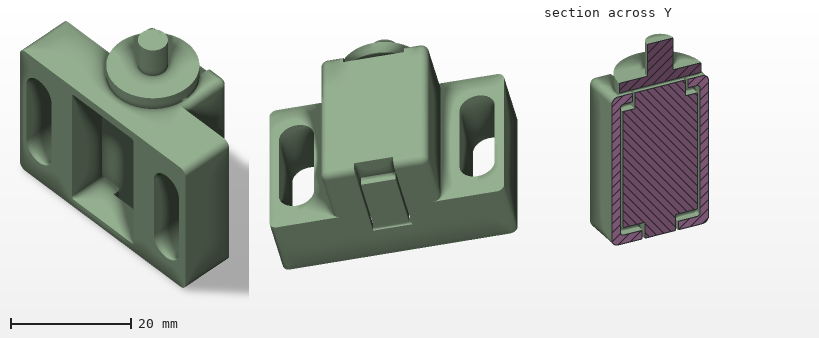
import cadquery as cq

PLATE_WIDTH = 40.0
PLATE_DEPTH = 10.0
HOUSING_DEPTH = 20.0
HOUSING_HEIGHT = 28.0
WALL = 1.7
EDGE_RADIUS = 1.25
MID_HEIGHT = HOUSING_HEIGHT / 2

SLOT_SPACING = 30.8
SLOT_WIDTH = 6.0
SLOT_LENGTH = 19.2

SWITCH_WIDTH = 14.1
SWITCH_HEIGHT = 22.0
SWITCH_DEPTH = 10.0
SWITCH_FRONT = 6.5
SWITCH_BACK = SWITCH_FRONT + SWITCH_DEPTH
SWITCH_MID_DEPTH = SWITCH_FRONT + SWITCH_DEPTH / 2
TOP_TAB_WIDTH = 9.6
BOTTOM_TAB_WIDTH = 5.9

SIDE_CLEARANCE = 0.4
FRONT_CLEARANCE = 0.8
CAVITY_WIDTH = SWITCH_WIDTH + 2 * SIDE_CLEARANCE
CAVITY_HEIGHT = HOUSING_HEIGHT - 2 * WALL
CAVITY_RADIUS = 0.5
BLOCK_WIDTH = CAVITY_WIDTH + 2 * WALL

DISC_DIAMETER = 15.5
DISC_THICKNESS = 2.5
STEM_DIAMETER = 5.0
STEM_LENGTH = 6.0
GROOVE_WIDTH = 1.0
GROOVE_DEPTH = 0.6


def box(width, y_start, y_end, z_start, z_end):
    """Box centred on X, given by its width and its Y and Z ranges."""
    return (
        cq.Workplane("XY")
        .box(width, y_end - y_start, z_end - z_start, centered=(True, False, False))
        .translate((0, y_start, z_start))
    )


def make_mounting_plate():
    """Front plate with rounded corners and a vertical slot on each side."""
    plate = box(PLATE_WIDTH, 0, PLATE_DEPTH, 0, HOUSING_HEIGHT).edges("|Y").fillet(EDGE_RADIUS)
    slots = (
        cq.Workplane("XZ")
        .pushPoints([(side * SLOT_SPACING / 2, MID_HEIGHT) for side in (-1, 1)])
        .slot2D(SLOT_LENGTH, SLOT_WIDTH, angle=90)
        .extrude(-PLATE_DEPTH)
    )
    return plate.cut(slots)


def make_tab_opening(tab_width, z_start):
    """Clearance for a tab through the top or bottom wall, running out at the back."""
    return box(
        tab_width + 2 * SIDE_CLEARANCE,
        SWITCH_FRONT - FRONT_CLEARANCE,
        HOUSING_DEPTH,
        z_start,
        z_start + WALL,
    )


def make_housing():
    """Mounting plate and rounded rear block, hollowed out for the switch."""
    block = box(BLOCK_WIDTH, 0, HOUSING_DEPTH, 0, HOUSING_HEIGHT)
    block = block.edges("|Y or >Y").fillet(EDGE_RADIUS)
    block = block.intersect(box(BLOCK_WIDTH, PLATE_DEPTH, HOUSING_DEPTH, 0, HOUSING_HEIGHT))
    cavity = box(CAVITY_WIDTH, 0, SWITCH_BACK, WALL, WALL + CAVITY_HEIGHT)
    cavity = cavity.edges("|Y").fillet(CAVITY_RADIUS)
    return (
        make_mounting_plate()
        .union(block)
        .cut(cavity)
        .cut(make_tab_opening(TOP_TAB_WIDTH, HOUSING_HEIGHT - WALL))
        .cut(make_tab_opening(BOTTOM_TAB_WIDTH, 0))
    )


def make_switch():
    """Switch block with its tabs reaching the top and bottom of the housing."""
    half_height = SWITCH_HEIGHT / 2
    body = box(SWITCH_WIDTH, SWITCH_FRONT, SWITCH_BACK, MID_HEIGHT - half_height, MID_HEIGHT + half_height)
    top_tab = box(TOP_TAB_WIDTH, SWITCH_FRONT, SWITCH_BACK, MID_HEIGHT, HOUSING_HEIGHT)
    bottom_tab = box(BOTTOM_TAB_WIDTH, SWITCH_FRONT, SWITCH_BACK, 0, MID_HEIGHT)
    return body.union(top_tab).union(bottom_tab)


def make_knob():
    """Disc on the housing's top with a stem above and a groove across its underside."""
    knob = (
        cq.Workplane("XY", origin=(0, SWITCH_MID_DEPTH, HOUSING_HEIGHT))
        .circle(DISC_DIAMETER / 2)
        .extrude(DISC_THICKNESS)
        .faces(">Z")
        .workplane()
        .circle(STEM_DIAMETER / 2)
        .extrude(STEM_LENGTH)
    )
    groove = box(
        DISC_DIAMETER,
        SWITCH_MID_DEPTH - GROOVE_WIDTH / 2,
        SWITCH_MID_DEPTH + GROOVE_WIDTH / 2,
        HOUSING_HEIGHT,
        HOUSING_HEIGHT + GROOVE_DEPTH,
    )
    return knob.cut(groove)


housing = make_housing()
switch = make_switch()
knob = make_knob()

result = cq.Compound.makeCompound([housing.val(), switch.val(), knob.val()])